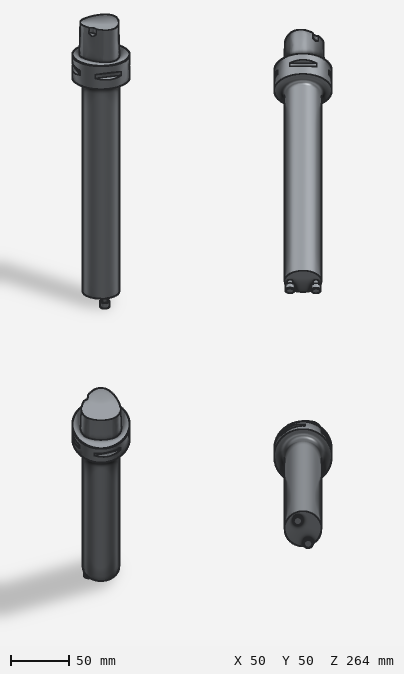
import cadquery as cq
import math

TOTAL_LENGTH = 264.0
SCREW_PROJECTION = 10.3
COUPLING_LENGTH = 30.0
FLANGE_HEIGHT = 22.0
FLANGE_TOP = TOTAL_LENGTH - COUPLING_LENGTH
FLANGE_BOTTOM = FLANGE_TOP - FLANGE_HEIGHT

BAR_DIAMETER = 32.0
BAR_FILLET = 5.5
FLANGE_RADIUS = 50.0 / 2
FLANGE_CHAMFER = 0.5

LOBE_COUNT = 3
FIRST_SIDE_ANGLE = -90
LOBE_REACH = 18.7
SIDE_REACH = 16.0
LOBE_ARC_RADIUS = 11.4
TAPER_PER_SIDE = 1 / 40
COUPLING_TAPER = math.degrees(math.atan(TAPER_PER_SIDE))

KEYWAY_RADIUS = 4.8
KEYWAY_WALL_DISTANCE = 13.7
KEYWAY_DEPTH = 5.0
KEYWAY_TIP_LENGTH = 5.8

GROOVE_COUNT = 4
FIRST_GROOVE_ANGLE = 45
GROOVE_DEPTH = 3.0
GROOVE_FLOOR_HEIGHT = 3.5
GROOVE_MOUTH_HEIGHT = 6.5
GROOVE_DROP = 10.3
GROOVE_CENTRE = FLANGE_TOP - GROOVE_DROP

SCREW_OFFSET = 8.0
SHANK_DIAMETER = 5.0
HEAD_DIAMETER = 8.5
HEAD_HEIGHT = 5.5
HEAD_CHAMFER = 0.8
SHANK_EMBED = 2.6


def polar(radius, angle):
    """Point at a radius and an angle in degrees."""
    return (radius * math.cos(math.radians(angle)), radius * math.sin(math.radians(angle)))


def make_bar():
    """Round bar that flares into the flange."""
    bar_radius = BAR_DIAMETER / 2
    return (
        cq.Workplane("XZ")
        .moveTo(0, SCREW_PROJECTION)
        .lineTo(bar_radius, SCREW_PROJECTION)
        .lineTo(bar_radius, FLANGE_BOTTOM - BAR_FILLET)
        .radiusArc((bar_radius + BAR_FILLET, FLANGE_BOTTOM), BAR_FILLET)
        .lineTo(FLANGE_RADIUS, FLANGE_BOTTOM)
        .lineTo(FLANGE_RADIUS, FLANGE_TOP - FLANGE_CHAMFER)
        .lineTo(FLANGE_RADIUS - FLANGE_CHAMFER, FLANGE_TOP)
        .lineTo(0, FLANGE_TOP)
        .close()
        .revolve(360, (0, 0, 0), (0, 1, 0))
    )


def make_coupling():
    """Tapered post whose section is six tangent arcs: three tight lobes and three flat sides."""
    lobe_centre = LOBE_REACH - LOBE_ARC_RADIUS
    half_pitch = math.radians(180 / LOBE_COUNT)
    gap = SIDE_REACH - LOBE_ARC_RADIUS
    side_centre = (lobe_centre**2 - gap**2) / (2 * (gap - lobe_centre * math.cos(half_pitch)))
    joint_angle = math.atan2(
        lobe_centre * math.sin(half_pitch), side_centre + lobe_centre * math.cos(half_pitch)
    )
    side_radius = SIDE_REACH + side_centre
    joint_x = side_radius * math.cos(joint_angle) - side_centre
    joint_y = side_radius * math.sin(joint_angle)
    joint_reach = math.hypot(joint_x, joint_y)
    joint_half_span = math.degrees(math.atan2(joint_y, joint_x))

    pitch = 360 / LOBE_COUNT
    section = cq.Workplane("XY", origin=(0, 0, FLANGE_TOP)).moveTo(
        *polar(joint_reach, FIRST_SIDE_ANGLE - joint_half_span)
    )
    for index in range(LOBE_COUNT):
        side = FIRST_SIDE_ANGLE + index * pitch
        section = section.threePointArc(
            polar(SIDE_REACH, side), polar(joint_reach, side + joint_half_span)
        ).threePointArc(
            polar(LOBE_REACH, side + pitch / 2), polar(joint_reach, side + pitch - joint_half_span)
        )
    return section.close().extrude(COUPLING_LENGTH, taper=COUPLING_TAPER)


def make_keyway():
    """Upright drill path with a conical tip, open along the -Y side of the coupling."""
    return (
        cq.Workplane("XZ", origin=(0, -KEYWAY_WALL_DISTANCE - KEYWAY_RADIUS, TOTAL_LENGTH))
        .lineTo(KEYWAY_RADIUS, 0)
        .lineTo(KEYWAY_RADIUS, -KEYWAY_DEPTH)
        .lineTo(0, -KEYWAY_DEPTH - KEYWAY_TIP_LENGTH)
        .close()
        .revolve(360, (0, 0, 0), (0, 1, 0))
    )


def make_groove():
    """Trapezoidal groove cut straight across the +X side of the flange."""
    floor = FLANGE_RADIUS - GROOVE_DEPTH
    return (
        cq.Workplane("XZ", origin=(0, FLANGE_RADIUS, GROOVE_CENTRE))
        .moveTo(floor, -GROOVE_FLOOR_HEIGHT / 2)
        .lineTo(FLANGE_RADIUS, -GROOVE_MOUTH_HEIGHT / 2)
        .lineTo(FLANGE_RADIUS, GROOVE_MOUTH_HEIGHT / 2)
        .lineTo(floor, GROOVE_FLOOR_HEIGHT / 2)
        .close()
        .extrude(2 * FLANGE_RADIUS)
    )


def make_screw(x, y):
    """Shank and chamfered head below the bar."""
    head = (
        cq.Workplane("XY", origin=(x, y, 0))
        .circle(HEAD_DIAMETER / 2)
        .extrude(HEAD_HEIGHT)
        .faces("<Z")
        .chamfer(HEAD_CHAMFER)
    )
    shank = (
        cq.Workplane("XY", origin=(x, y, 0))
        .circle(SHANK_DIAMETER / 2)
        .extrude(SCREW_PROJECTION + SHANK_EMBED)
    )
    return head.union(shank)


result = make_bar().union(make_coupling()).cut(make_keyway())
for index in range(GROOVE_COUNT):
    angle = FIRST_GROOVE_ANGLE + index * 360 / GROOVE_COUNT
    result = result.cut(make_groove().rotate((0, 0, 0), (0, 0, 1), angle))
for x, y in ((-SCREW_OFFSET, SCREW_OFFSET), (SCREW_OFFSET, -SCREW_OFFSET)):
    result = result.union(make_screw(x, y))